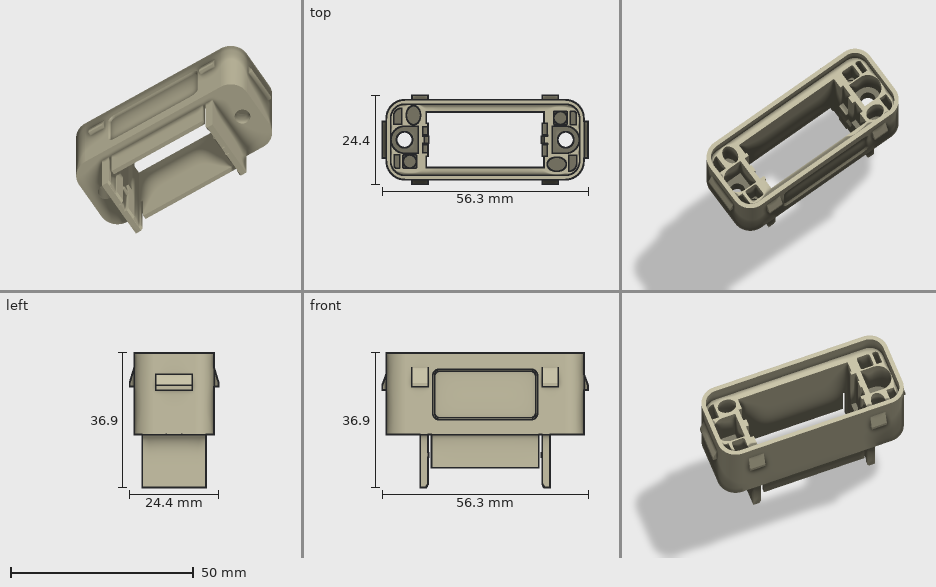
import cadquery as cq
import math

BODY_LENGTH = 54.1
BODY_WIDTH = 21.9
BODY_HEIGHT = 22.4
CORNER_RADIUS = 5.15
RIM_WALL = 1.2
RIM_DEPTH = 5.0
FLOOR_Z = BODY_HEIGHT - RIM_DEPTH

WINDOW_HALF_LENGTH = 16.05
WINDOW_HALF_WIDTH = 7.55

LEG_OUTER_X = 17.8
LEG_INNER_X = 15.6
LEG_HALF_WIDTH = 8.75
LEG_LENGTH = 14.5
LEG_CHAMFER_X = 0.5
LEG_CHAMFER_Z = 1.0
SKIRT_HALF_LENGTH = 14.7
SKIRT_LENGTH = 9.1

GUIDE_RECESS_X = 17.0
PAD_HALF_WIDTH = 4.55
LEFT_RECESS_HALF_WIDTH = 3.55
RIGHT_RECESS_HALF_WIDTH = PAD_HALF_WIDTH
TONGUE_HALF_WIDTH = 1.0
TONGUE_SLIT = 0.3
LEFT_TONGUE_X = 16.6
RIGHT_TONGUE_X = LEG_INNER_X + LEG_CHAMFER_X
BUMP_X = 15.4
BUMP_TOP_Z = -5.0
BUMP_HEIGHT = 1.2
BUMP_RAMP = 1.0

SCREW_X = 22.05
SCREW_HOLE_DIAMETER = 4.3
SCREW_POCKET_RADIUS = 3.7
SCREW_POCKET_FLAT_X = 18.35
POCKET_DEPTH = 12.0

OVAL_X = 19.6
OVAL_Y = 6.7
OVAL_LONG = 5.2
OVAL_SHORT = 3.9
SQUARE_X = 20.6
SQUARE_Y = 5.95
SQUARE_SIDE = 3.8
SQUARE_CORNER_RADIUS = 0.6
SQUARE_BORE_DIAMETER = 3.6
SQUARE_BORE_DEPTH = 1.0
SLOT_INNER_X = 23.3
SLOT_OUTER_X = 24.9
SLOT_INNER_Y = 4.15
SLOT_OUTER_Y = 7.85
SLOT_CORNER_CUT = 0.5
CURVED_INNER_X = 22.85
CURVED_OUTER_X = 25.05
CURVED_INNER_Y = 4.3
CURVED_OUTER_Y = 8.65
CURVED_STRAIGHT_Y = 6.4

SIDE_LATCH_X = 17.8
SIDE_LATCH_WIDTH = 4.4
SIDE_LATCH_REACH = 1.25
SIDE_LATCH_DROPS = (4.15, 8.2, 9.25)
END_LATCH_WIDTH = 10.0
END_LATCH_REACH = 1.1
END_LATCH_DROPS = (5.85, 8.85, 10.2)

LABEL_LENGTH = 28.75
LABEL_HEIGHT = 13.9
LABEL_CENTRE_Z = 11.0
LABEL_RADIUS = 2.0
LABEL_DEPTH = 0.6
LABEL_BEVEL = 0.55


def box(x_range, y_range, z_range):
    """Box between two limits on each axis, given in either order."""
    x0, x1 = sorted(x_range)
    y0, y1 = sorted(y_range)
    z0, z1 = sorted(z_range)
    return cq.Workplane("XY").box(x1 - x0, y1 - y0, z1 - z0, centered=False).translate((x0, y0, z0))


def make_body():
    body = cq.Workplane("XY").rect(BODY_LENGTH, BODY_WIDTH).extrude(BODY_HEIGHT)
    body = body.edges("|Z").fillet(CORNER_RADIUS)
    rim = (
        cq.Workplane("XY")
        .workplane(offset=FLOOR_Z)
        .rect(BODY_LENGTH - 2 * RIM_WALL, BODY_WIDTH - 2 * RIM_WALL)
        .extrude(RIM_DEPTH)
        .edges("|Z")
        .fillet(CORNER_RADIUS - RIM_WALL)
    )
    window = box(
        (-WINDOW_HALF_LENGTH, WINDOW_HALF_LENGTH),
        (-WINDOW_HALF_WIDTH, WINDOW_HALF_WIDTH),
        (0, BODY_HEIGHT),
    )
    return body.cut(rim).cut(window)


def make_skirt(side):
    """Plate below one long side of the window; side is +1 for +Y, -1 for -Y."""
    return box(
        (-SKIRT_HALF_LENGTH, SKIRT_HALF_LENGTH),
        (side * WINDOW_HALF_WIDTH, side * LEG_HALF_WIDTH),
        (-SKIRT_LENGTH, 0),
    )


def make_leg(side):
    """Leg below one end, cleared beside its pad; side is +1 for +X, -1 for -X."""
    outline = [
        (side * LEG_OUTER_X, 0),
        (side * LEG_OUTER_X, -LEG_LENGTH),
        (side * (LEG_INNER_X + LEG_CHAMFER_X), -LEG_LENGTH),
        (side * LEG_INNER_X, LEG_CHAMFER_Z - LEG_LENGTH),
        (side * LEG_INNER_X, 0),
    ]
    leg = (
        cq.Workplane("XZ")
        .polyline(outline)
        .close()
        .extrude(LEG_HALF_WIDTH, both=True)
    )
    for y_side in (1, -1):
        clearance = box(
            (side * LEG_INNER_X, side * WINDOW_HALF_LENGTH),
            (y_side * PAD_HALF_WIDTH, y_side * WINDOW_HALF_WIDTH),
            (-LEG_LENGTH, 0),
        )
        leg = leg.cut(clearance)
    return leg


def add_guide(part, side, recess_half_width, tongue_x):
    """Recess, slits, tongue and bump in the middle of one end wall and its leg."""
    lip = box(
        (side * LEG_INNER_X, side * GUIDE_RECESS_X),
        (-PAD_HALF_WIDTH, PAD_HALF_WIDTH),
        (0, FLOOR_Z),
    )
    recess = box(
        (side * LEG_INNER_X, side * GUIDE_RECESS_X),
        (-recess_half_width, recess_half_width),
        (0, FLOOR_Z),
    )
    slit_half_width = TONGUE_HALF_WIDTH + TONGUE_SLIT
    channel = box(
        (side * LEG_INNER_X, side * GUIDE_RECESS_X),
        (-slit_half_width, slit_half_width),
        (-LEG_LENGTH, 0),
    )
    tongue = box(
        (side * tongue_x, side * GUIDE_RECESS_X),
        (-TONGUE_HALF_WIDTH, TONGUE_HALF_WIDTH),
        (-LEG_LENGTH, FLOOR_Z),
    )
    bump_outline = [
        (side * GUIDE_RECESS_X, BUMP_TOP_Z + BUMP_RAMP),
        (side * tongue_x, BUMP_TOP_Z + BUMP_RAMP),
        (side * BUMP_X, BUMP_TOP_Z),
        (side * BUMP_X, BUMP_TOP_Z - BUMP_HEIGHT),
        (side * GUIDE_RECESS_X, BUMP_TOP_Z - BUMP_HEIGHT),
    ]
    bump = (
        cq.Workplane("XZ")
        .polyline(bump_outline)
        .close()
        .extrude(TONGUE_HALF_WIDTH, both=True)
    )
    return part.union(lip).cut(recess).cut(channel).union(tongue).union(bump)


def screw_pocket():
    """D-shaped pocket with a through hole at the +X end."""
    plane = cq.Workplane("XY").workplane(offset=FLOOR_Z)
    pocket = (
        plane.moveTo(SCREW_POCKET_FLAT_X, -SCREW_POCKET_RADIUS)
        .lineTo(SCREW_X, -SCREW_POCKET_RADIUS)
        .threePointArc((SCREW_X + SCREW_POCKET_RADIUS, 0), (SCREW_X, SCREW_POCKET_RADIUS))
        .lineTo(SCREW_POCKET_FLAT_X, SCREW_POCKET_RADIUS)
        .close()
        .extrude(-POCKET_DEPTH)
    )
    hole = plane.center(SCREW_X, 0).circle(SCREW_HOLE_DIAMETER / 2).extrude(-FLOOR_Z)
    return pocket.union(hole)


def square_pocket():
    """Square pocket at the +X +Y corner with a round bore in its bottom."""
    pocket = (
        cq.Workplane("XY")
        .workplane(offset=FLOOR_Z)
        .center(SQUARE_X, SQUARE_Y)
        .rect(SQUARE_SIDE, SQUARE_SIDE)
        .extrude(-POCKET_DEPTH)
        .edges("|Z")
        .fillet(SQUARE_CORNER_RADIUS)
    )
    bore = (
        cq.Workplane("XY")
        .workplane(offset=FLOOR_Z)
        .center(SQUARE_X, SQUARE_Y)
        .circle(SQUARE_BORE_DIAMETER / 2)
        .extrude(-POCKET_DEPTH - SQUARE_BORE_DEPTH)
    )
    return pocket.union(bore)


def narrow_slot():
    """Narrow pocket beside the square one, its two outer corners cut off."""
    return (
        cq.Workplane("XY")
        .workplane(offset=FLOOR_Z)
        .moveTo(SLOT_INNER_X, SLOT_INNER_Y)
        .lineTo(SLOT_OUTER_X, SLOT_INNER_Y)
        .lineTo(SLOT_OUTER_X, SLOT_OUTER_Y - SLOT_CORNER_CUT)
        .lineTo(SLOT_OUTER_X - SLOT_CORNER_CUT, SLOT_OUTER_Y)
        .lineTo(SLOT_INNER_X + SLOT_CORNER_CUT / 2, SLOT_OUTER_Y)
        .lineTo(SLOT_INNER_X, SLOT_OUTER_Y - SLOT_CORNER_CUT / 2)
        .close()
        .extrude(-POCKET_DEPTH)
    )


def curved_pocket():
    """Pocket at the +X -Y corner whose outer side follows the rounded body corner."""
    quarter = math.sqrt(0.5)
    arc_width = CURVED_OUTER_X - CURVED_INNER_X
    arc_height = CURVED_OUTER_Y - CURVED_STRAIGHT_Y
    arc_middle = (
        CURVED_INNER_X + quarter * arc_width,
        -CURVED_STRAIGHT_Y - quarter * arc_height,
    )
    return (
        cq.Workplane("XY")
        .workplane(offset=FLOOR_Z)
        .moveTo(CURVED_INNER_X, -CURVED_INNER_Y)
        .lineTo(CURVED_OUTER_X, -CURVED_INNER_Y)
        .lineTo(CURVED_OUTER_X, -CURVED_STRAIGHT_Y)
        .threePointArc(arc_middle, (CURVED_INNER_X, -CURVED_OUTER_Y))
        .close()
        .extrude(-POCKET_DEPTH)
    )


def oval_pocket(side, x_size, y_size):
    """Elliptical pocket; side is +1 for the +X -Y corner, -1 for the -X +Y corner."""
    return (
        cq.Workplane("XY")
        .workplane(offset=FLOOR_Z)
        .center(side * OVAL_X, -side * OVAL_Y)
        .ellipse(x_size / 2, y_size / 2)
        .extrude(-POCKET_DEPTH)
    )


def make_latch(wall, reach, width, drops):
    """Wedge on a wall facing +X at X = wall: ramp from the top, flat tip, square underside."""
    top_z, tip_z, bottom_z = (BODY_HEIGHT - drop for drop in drops)
    root = wall - RIM_WALL / 2
    outline = [
        (root, top_z),
        (wall, top_z),
        (wall + reach, tip_z),
        (wall + reach, bottom_z),
        (root, bottom_z),
    ]
    return cq.Workplane("XZ").polyline(outline).close().extrude(width / 2, both=True)


def about_z(shape, angle):
    return shape.rotate((0, 0, 0), (0, 0, 1), angle)


def label_recess():
    """Rounded rectangle sunk into the -Y face, narrowing towards its bottom."""
    taper = math.degrees(math.atan(LABEL_BEVEL / LABEL_DEPTH))
    outline = cq.Sketch().rect(LABEL_LENGTH, LABEL_HEIGHT).vertices().fillet(LABEL_RADIUS)
    return (
        cq.Workplane("XZ", origin=(0, -BODY_WIDTH / 2, LABEL_CENTRE_Z))
        .placeSketch(outline)
        .extrude(-LABEL_DEPTH, taper=taper)
    )


part = make_body()
for end in (1, -1):
    part = part.union(make_skirt(end)).union(make_leg(end))
part = add_guide(part, -1, LEFT_RECESS_HALF_WIDTH, LEFT_TONGUE_X)
part = add_guide(part, 1, RIGHT_RECESS_HALF_WIDTH, RIGHT_TONGUE_X)

for turn in (0, 180):
    for pocket_shape in (screw_pocket(), square_pocket(), narrow_slot(), curved_pocket()):
        part = part.cut(about_z(pocket_shape, turn))
part = part.cut(oval_pocket(1, OVAL_LONG, OVAL_SHORT))
part = part.cut(oval_pocket(-1, OVAL_SHORT, OVAL_LONG))

end_latch = make_latch(BODY_LENGTH / 2, END_LATCH_REACH, END_LATCH_WIDTH, END_LATCH_DROPS)
side_latch = about_z(
    make_latch(BODY_WIDTH / 2, SIDE_LATCH_REACH, SIDE_LATCH_WIDTH, SIDE_LATCH_DROPS), 90
)
for turn in (0, 180):
    part = part.union(about_z(end_latch, turn))
    for latch_x in (-SIDE_LATCH_X, SIDE_LATCH_X):
        part = part.union(about_z(side_latch.translate((latch_x, 0, 0)), turn))

result = part.cut(label_recess())